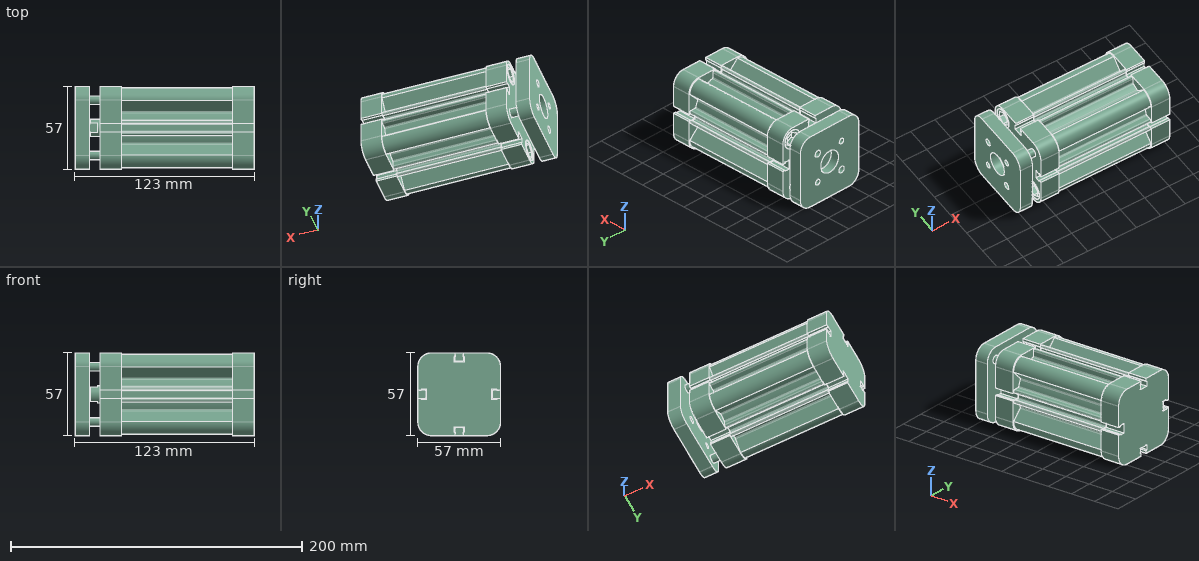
import cadquery as cq
import math


length = 123.0
side = 57.0
half_side = side / 2
corner_radius = 9.5
plate_thickness = 10.0
cap_thickness = 15.0
front_cap_x = 17.0
barrel_x = front_cap_x + cap_thickness
rear_cap_x = length - cap_thickness
barrel_length = rear_cap_x - barrel_x
rod_length = barrel_x - plate_thickness

plate_hole_offset = 11.6
large_hole_diameter = 5.0
small_hole_diameter = 4.2
recess_diameter = 17.2
recess_depth = 7.0

corner_offset = 19.0
guide_diameter = 6.0
piston_diameter = 12.0
flat_spacing = 10.1
flat_length = 5.3
piston_chamfer = 0.5

screw_recess_diameter = 14.5
screw_recess_depth = 0.4
socket_flats = 9.5
socket_depth = 5.7

cap_slot_depth = 6.2
cap_slot_undercut = 0.7
cap_slot_half_width = 2.8
cap_lip_depth = 2.0
barrel_slot_depth = 4.7
barrel_slot_undercut = 0.2
barrel_slot_half_width = 2.7
barrel_lip_depth = 1.5
mouth_radius = 0.6
floor_radius = 0.6

barrel_half = 27.5
barrel_corner_radius = barrel_half - corner_offset
slope_rise = 8.9
tube_radius = 22.5
rail_half_width = 5.2
rail_edge_radius = 1.1
rail_root_radius = 0.7
valley_radius = 0.9


def yz_plane(x):
    """Sketch plane facing +X at the given x, with its local axes along Y and Z."""
    return cq.Workplane("YZ", origin=(x, 0, 0))


def rounded_block(x, thickness):
    """Square block on the X axis with rounded corners, as wide as the whole part."""
    block = yz_plane(x).rect(side, side).extrude(thickness)
    return block.edges("|X").fillet(corner_radius)


def cut_four_sides(body, tool):
    """Cut a tool made for the +Z side into all four sides of a body."""
    for turn in range(4):
        body = body.cut(tool.rotate((0, 0, 0), (1, 0, 0), 90 * turn))
    return body


def barrel_edge_at(point):
    """Selector of the long barrel edge that runs through a (y, z) point."""
    return cq.selectors.NearestToPointSelector((barrel_x + barrel_length / 2, *point))


def symmetric_prism(x, right_points, prism_length):
    """Prism along X whose outline is mirrored about the XZ plane."""
    left_points = [(-y, z) for y, z in reversed(right_points)]
    return yz_plane(x).polyline(right_points + left_points).close().extrude(prism_length)


def make_plate():
    h = plate_hole_offset
    plate = rounded_block(0, plate_thickness)
    recess = yz_plane(0).circle(recess_diameter / 2).extrude(recess_depth)
    large_holes = yz_plane(0).pushPoints([(h, h), (-h, -h)]).circle(large_hole_diameter / 2)
    small_holes = yz_plane(0).pushPoints([(h, -h), (-h, h)]).circle(small_hole_diameter / 2)
    plate = plate.cut(recess)
    plate = plate.cut(large_holes.extrude(plate_thickness))
    return plate.cut(small_holes.extrude(plate_thickness))


def make_piston_rod():
    """Round rod, chamfered at the plate, with two wrench flats facing up and down."""
    rod = yz_plane(plate_thickness).circle(piston_diameter / 2).extrude(rod_length)
    rod = rod.faces("<X").chamfer(piston_chamfer)
    around_flats = (
        yz_plane(plate_thickness)
        .rect(2 * piston_diameter, 2 * piston_diameter)
        .rect(2 * piston_diameter, flat_spacing)
        .extrude(flat_length)
    )
    return rod.cut(around_flats)


def make_guide_rod(y, z):
    return yz_plane(plate_thickness).center(y, z).circle(guide_diameter / 2).extrude(rod_length)


def cap_slot(x):
    """T-slot across a cap on the +Z side."""
    base_half_width = cap_slot_half_width + cap_slot_undercut
    lip_z = half_side - cap_lip_depth
    floor_z = half_side - cap_slot_depth
    outline = [
        (base_half_width, floor_z),
        (base_half_width, lip_z - cap_slot_undercut),
        (cap_slot_half_width, lip_z),
        (cap_slot_half_width, half_side),
    ]
    return symmetric_prism(x, outline, cap_thickness)


def make_cap(x):
    cap = rounded_block(x, cap_thickness)
    return cut_four_sides(cap, cap_slot(x))


def screw_sockets():
    """Hexagon sockets in shallow round recesses, at two opposite corners of the front cap."""
    corners = [(corner_offset, corner_offset), (-corner_offset, -corner_offset)]
    recesses = yz_plane(front_cap_x).pushPoints(corners).circle(screw_recess_diameter / 2)
    sockets = cq.Workplane()
    across_corners = socket_flats / math.cos(math.pi / 6)
    for y, z in corners:
        socket = (
            yz_plane(front_cap_x + screw_recess_depth)
            .center(y, z)
            .transformed(rotate=(0, 0, 90))
            .polygon(6, across_corners)
            .extrude(socket_depth)
        )
        sockets = sockets.add(socket)
    return recesses.extrude(screw_recess_depth).union(sockets)


def mirrored(point):
    """Point mirrored about the diagonal y = z."""
    return point[1], point[0]


def polar_point(center, radius, angle):
    """Point on a circle about (center, center), at an angle measured from the Z axis."""
    return center + radius * math.sin(angle), center + radius * math.cos(angle)


def barrel_quarter():
    """Quarter of the barrel between +Y and +Z, with half a rail on each of those sides."""
    rail_top = (rail_half_width, barrel_half)
    root_angle = math.asin(rail_half_width / tube_radius)
    root = polar_point(0, tube_radius, root_angle)
    valley_angle = math.pi / 4 - math.asin(slope_rise / (math.sqrt(2) * tube_radius))
    valley = polar_point(0, tube_radius, valley_angle)
    corner_angle = math.pi / 4 - math.asin(slope_rise / (math.sqrt(2) * barrel_corner_radius))
    corner_start = polar_point(corner_offset, barrel_corner_radius, corner_angle)
    corner_middle = polar_point(corner_offset, barrel_corner_radius, math.pi / 4)
    tube_middle = polar_point(0, tube_radius, (root_angle + valley_angle) / 2)
    quarter = (
        yz_plane(barrel_x)
        .lineTo(0, barrel_half)
        .lineTo(*rail_top)
        .lineTo(*root)
        .threePointArc(tube_middle, valley)
        .lineTo(*corner_start)
        .threePointArc(corner_middle, mirrored(corner_start))
        .lineTo(*mirrored(valley))
        .threePointArc(mirrored(tube_middle), mirrored(root))
        .lineTo(*mirrored(rail_top))
        .lineTo(barrel_half, 0)
        .close()
        .extrude(barrel_length)
    )
    rounded_edges = [
        (valley, valley_radius),
        (root, rail_root_radius),
        (rail_top, rail_edge_radius),
    ]
    for point, radius in rounded_edges:
        quarter = quarter.edges(barrel_edge_at(point)).fillet(radius)
        quarter = quarter.edges(barrel_edge_at(mirrored(point))).fillet(radius)
    return quarter


def barrel_slot():
    """T-slot along the rail on the +Z side, rounded at its mouth and along its floor."""
    base_half_width = barrel_slot_half_width + barrel_slot_undercut
    lip_z = barrel_half - barrel_lip_depth
    floor_z = barrel_half - barrel_slot_depth
    mouth_half_width = barrel_slot_half_width + mouth_radius
    round_offset = mouth_radius * math.sqrt(0.5)
    round_y = mouth_half_width - round_offset
    round_z = barrel_half - mouth_radius + round_offset
    slot = (
        yz_plane(barrel_x)
        .moveTo(base_half_width, floor_z)
        .lineTo(base_half_width, lip_z - barrel_slot_undercut)
        .lineTo(barrel_slot_half_width, lip_z)
        .lineTo(barrel_slot_half_width, barrel_half - mouth_radius)
        .threePointArc((round_y, round_z), (mouth_half_width, barrel_half))
        .lineTo(-mouth_half_width, barrel_half)
        .threePointArc((-round_y, round_z), (-barrel_slot_half_width, barrel_half - mouth_radius))
        .lineTo(-barrel_slot_half_width, lip_z)
        .lineTo(-base_half_width, lip_z - barrel_slot_undercut)
        .lineTo(-base_half_width, floor_z)
        .close()
        .extrude(barrel_length)
    )
    for y in (base_half_width, -base_half_width):
        slot = slot.edges(barrel_edge_at((y, floor_z))).fillet(floor_radius)
    return slot


def make_barrel():
    quarter = barrel_quarter()
    barrel = quarter
    for turn in range(1, 4):
        barrel = barrel.union(quarter.rotate((0, 0, 0), (1, 0, 0), 90 * turn))
    return cut_four_sides(barrel, barrel_slot())


def make_housing(rods):
    """Barrel and both caps in one piece, bored to take the rods."""
    housing = make_barrel().union(make_cap(front_cap_x)).union(make_cap(rear_cap_x))
    housing = housing.cut(screw_sockets())
    for rod in rods:
        housing = housing.cut(rod)
    return housing


plate = make_plate()
piston_rod = make_piston_rod()
guide_rods = []
for y_sign in (1, -1):
    guide_rods.append(make_guide_rod(y_sign * corner_offset, -y_sign * corner_offset))
housing = make_housing([piston_rod] + guide_rods)

bodies = [plate, piston_rod, housing] + guide_rods
result = cq.Compound.makeCompound([body.val() for body in bodies])